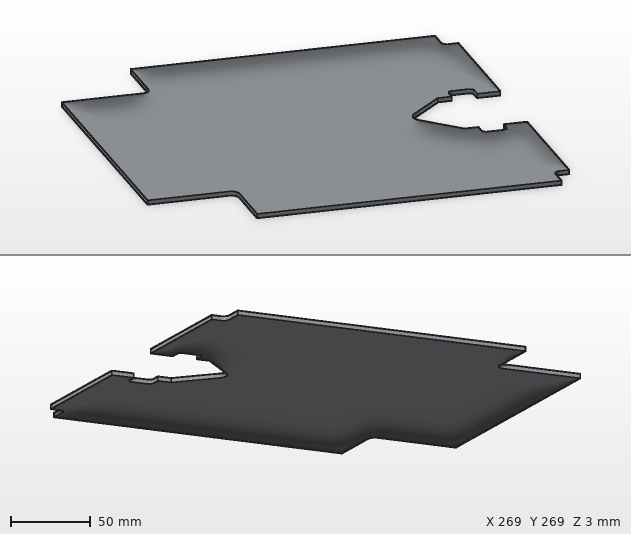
import cadquery as cq

side = 269.0
thickness = 3.0

rear_width = 235.6
rear_step_depth = 10.2
rear_step_radius = 4.0
tongue_width = 182.5
tongue_length = 58.6
tongue_radius = 5.0

slot_width = 56.5
slot_straight_depth = 41.2
slot_tip_radius = 8.0
pocket_width = 75.3
pocket_start_depth = 15.3
pocket_end_depth = 32.0
pocket_radius = 3.0

rear_y = side / 2
front_y = -side / 2


def block(width, y_start, y_end):
    """Plate-thick block, centred on X, spanning two Y positions."""
    return (
        cq.Workplane("XY")
        .center(0, (y_start + y_end) / 2)
        .rect(width, y_end - y_start)
        .extrude(thickness)
    )


def corner_pair(width, y):
    """Selector for the two vertical edges at one width and Y position."""
    reach = 0.3
    boxes = [
        cq.selectors.BoxSelector(
            (x - reach, y - reach, -reach),
            (x + reach, y + reach, thickness + reach),
        )
        for x in (-width / 2, width / 2)
    ]
    return boxes[0] + boxes[1]


def make_plate():
    """Wide middle with a narrower rear strip and a front tongue."""
    wing_front_y = front_y + tongue_length
    wing_rear_y = rear_y - rear_step_depth
    plate = (
        block(side, wing_front_y, wing_rear_y)
        .union(block(rear_width, wing_front_y, rear_y))
        .union(block(tongue_width, front_y, wing_rear_y))
    )
    plate = plate.edges(corner_pair(rear_width, wing_rear_y)).fillet(rear_step_radius)
    return plate.edges(corner_pair(tongue_width, wing_front_y)).fillet(tongue_radius)


def make_slot():
    """Straight slot ending in a 90 degree V with a rounded tip."""
    half_width = slot_width / 2
    shoulder_y = rear_y - slot_straight_depth
    tip_y = shoulder_y - half_width
    slot = (
        cq.Workplane("XY")
        .polyline([
            (-half_width, rear_y),
            (-half_width, shoulder_y),
            (0, tip_y),
            (half_width, shoulder_y),
            (half_width, rear_y),
        ])
        .close()
        .extrude(thickness)
    )
    return slot.edges("|Z").edges("<Y").fillet(slot_tip_radius)


def make_pocket():
    """Cross pocket that widens the slot on both sides."""
    pocket = block(pocket_width, rear_y - pocket_end_depth, rear_y - pocket_start_depth)
    return pocket.edges("|Z").fillet(pocket_radius)


result = make_plate().cut(make_slot()).cut(make_pocket())